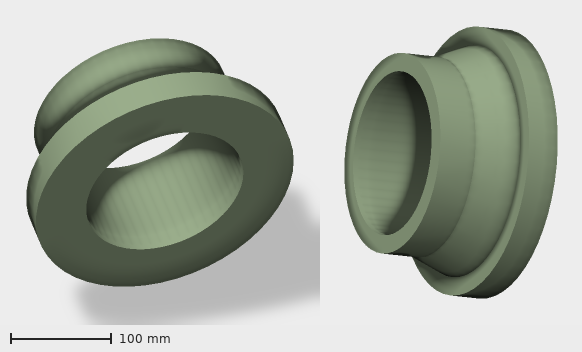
import cadquery as cq

total_length = 114.0
neck_length = 39.7
flange_thickness = 32.5
flange_diameter = 268.0
neck_diameter = 200.0
cone_end_diameter = 231.5
bore_diameter = 163.5

flange_start = total_length - flange_thickness

body_profile = (
    cq.Workplane("XY")
    .moveTo(0, 0)
    .lineTo(0, neck_diameter / 2)
    .lineTo(neck_length, neck_diameter / 2)
    .lineTo(flange_start, cone_end_diameter / 2)
    .lineTo(flange_start, flange_diameter / 2)
    .lineTo(total_length, flange_diameter / 2)
    .lineTo(total_length, 0)
    .close()
)
body = body_profile.revolve(360, (0, 0, 0), (1, 0, 0))

bore = cq.Workplane("YZ").circle(bore_diameter / 2).extrude(total_length)

result = body.cut(bore)